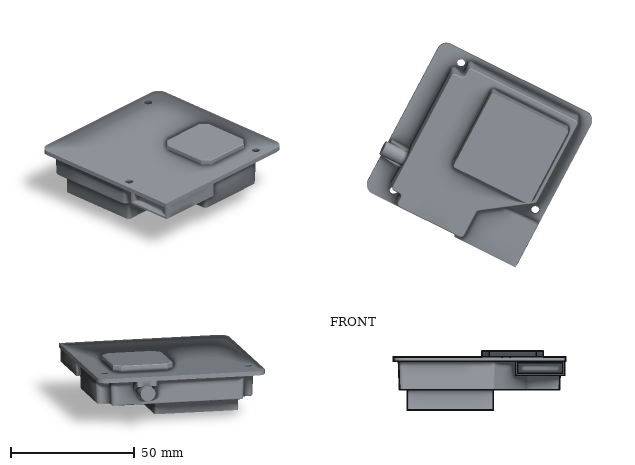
import cadquery as cq
import math

board_side = 70.0
board_thickness = 1.8
board_corner_radius = 4.0

hole_diameter = 3.3
rear_hole_inset = 5.0
rear_hole_y = 58.8
front_hole_x = 45.9
front_hole_y = 3.9

pad_side = 24.95
pad_height = 2.6
pad_left = 36.0
pad_front = 33.9
pad_corner_cut = 2.9
pad_edge_chamfer = 0.3

housing_depth = 11.6
housing_draft = 2.0
housing_side_inset = 2.1
housing_front = 5.9
housing_rear = 61.65
housing_corner_radius = 1.5
housing_rim_radius = 0.5
notch_clearance = 2.15
slant_start_x = 40.9
slant_end_x = 54.8
slant_angle = 55.0
slant_depth = (slant_end_x - slant_start_x) * math.tan(math.radians(slant_angle))
recess_y = housing_front + slant_depth

block_side = 35.0
block_height = 8.2
block_left = 5.65
block_front = 9.2
block_corner_radius = 1.0

socket_left = 49.8
socket_right = 69.7
socket_front = 0.85
socket_height = 5.7
socket_wall = 0.8
socket_top_wall = 0.5
socket_pocket_depth = 14.3

jack_x = 49.9
barrel_diameter = 6.15
barrel_overhang = 1.5
barrel_drop = 4.9
barrel_length = 14.3
carrier_width = 7.9
carrier_rear_inset = 0.6
carrier_nose_height = 2.3
carrier_slope_length = 5.6

joint_overlap = 2.85


def corner_box(left, front, bottom, width, length, height):
    """Box placed by its left, front, bottom corner."""
    return cq.Workplane("XY").box(width, length, height, centered=False).translate((left, front, bottom))


def make_board():
    board = corner_box(0, 0, 0, board_side, board_side, board_thickness)
    return board.edges("|Z and (<X or >Y)").fillet(board_corner_radius)


def make_pad():
    pad = corner_box(pad_left, pad_front, board_thickness, pad_side, pad_side, pad_height)
    pad = pad.edges("|Z").chamfer(pad_corner_cut)
    return pad.faces(">Z").edges().chamfer(pad_edge_chamfer)


def make_housing():
    left = housing_side_inset
    right = board_side - housing_side_inset
    notch_left = rear_hole_inset + notch_clearance
    notch_right = board_side - notch_left
    notch_front = rear_hole_y - notch_clearance
    outline = [
        (left, housing_front),
        (slant_start_x, housing_front),
        (slant_end_x, recess_y),
        (right, recess_y),
        (right, notch_front),
        (notch_right, notch_front),
        (notch_right, housing_rear),
        (notch_left, housing_rear),
        (notch_left, notch_front),
        (left, notch_front),
    ]
    draft_offset = housing_depth * math.tan(math.radians(housing_draft))
    top_wire = cq.Wire.makePolygon([cq.Vector(x, y, 0) for x, y in outline], close=True)
    shrunk_wire = top_wire.offset2D(-draft_offset, "intersection")[0]
    bottom_wire = shrunk_wire.translate(cq.Vector(0, 0, -housing_depth))
    housing = cq.Workplane(cq.Solid.makeLoft([top_wire, bottom_wire], ruled=True))
    housing = housing.edges("not #Z").fillet(housing_corner_radius)
    return housing.faces("<Z").edges().fillet(housing_rim_radius)


def make_block():
    bottom = -housing_depth - block_height
    block = corner_box(block_left, block_front, bottom, block_side, block_side, block_height)
    return block.edges("|Z").fillet(block_corner_radius)


def make_socket():
    width = socket_right - socket_left
    length = recess_y + joint_overlap - socket_front
    shell = corner_box(socket_left, socket_front, -socket_height, width, length, socket_height)
    pocket = corner_box(
        socket_left + socket_wall,
        socket_front,
        socket_wall - socket_height,
        width - 2 * socket_wall,
        socket_pocket_depth,
        socket_height - socket_wall - socket_top_wall,
    )
    return shell, pocket


def make_jack():
    draft = math.radians(housing_draft)
    carrier_rear = board_side - carrier_rear_inset
    carrier_profile = [
        (housing_rear - joint_overlap, 0),
        (carrier_rear, 0),
        (carrier_rear, -carrier_nose_height),
        (carrier_rear - carrier_slope_length, -barrel_drop),
        (housing_rear - joint_overlap, -barrel_drop),
    ]
    carrier = (
        cq.Workplane("YZ", origin=(jack_x, 0, 0))
        .polyline(carrier_profile)
        .close()
        .extrude(carrier_width / 2, both=True)
    )
    rim_setback = barrel_diameter / 2 * math.sin(draft)
    tip_center = cq.Vector(jack_x, board_side + barrel_overhang - rim_setback, -barrel_drop)
    inward = cq.Vector(0, -math.cos(draft), math.sin(draft))
    barrel = cq.Solid.makeCylinder(barrel_diameter / 2, barrel_length, tip_center, inward)
    return carrier.union(cq.Workplane(barrel))


def make_holes():
    centers = [
        (rear_hole_inset, rear_hole_y),
        (board_side - rear_hole_inset, rear_hole_y),
        (front_hole_x, front_hole_y),
    ]
    return cq.Workplane("XY").pushPoints(centers).circle(hole_diameter / 2).extrude(board_thickness)


socket_shell, socket_pocket = make_socket()
result = make_board().union(make_pad()).union(make_housing()).union(make_block())
result = result.union(make_jack()).union(socket_shell)
result = result.cut(socket_pocket).cut(make_holes())